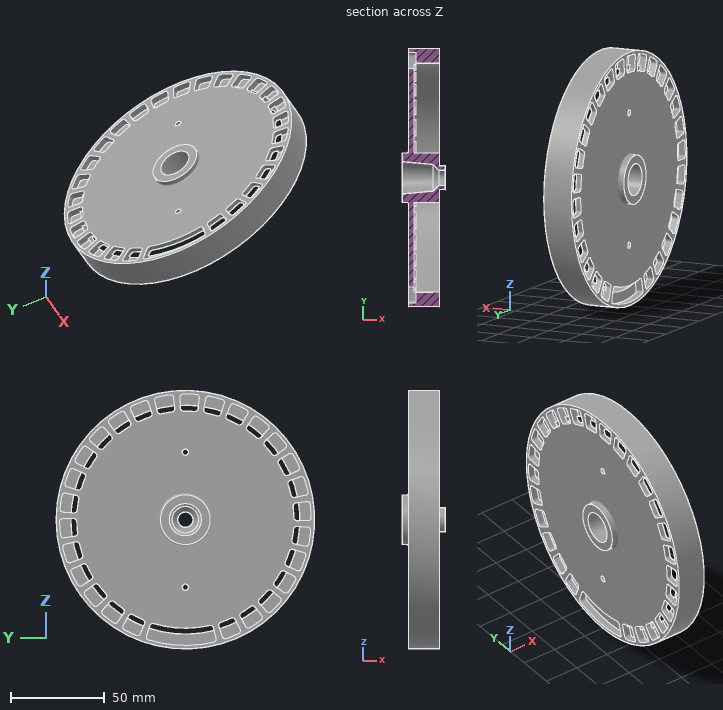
import cadquery as cq
import math

WHEEL_RADIUS = 69.0
WHEEL_WIDTH = 16.5
WEB_THICKNESS = 3.0
RIM_INNER_RADIUS = 61.0

HUB_RADIUS = 13.2
BOSS_LENGTH = 3.5
BOSS_FILLET = 1.0
STUB_RADIUS = 6.5
STUB_LENGTH = 3.2

BORE_MOUTH_RADIUS = 8.5
BORE_END_RADIUS = 7.0
BORE_DEPTH = 16.5
THROUGH_RADIUS = 4.0
CONE_DEPTH = BORE_END_RADIUS - THROUGH_RADIUS

WINDOW_INNER_RADIUS = 58.0
WINDOW_OUTER_RADIUS = 67.0
WINDOW_CORNER_RADIUS = 1.7
WINDOW_POSITIONS = 30
WINDOW_PITCH = 360 / WINDOW_POSITIONS
WINDOW_DEPTH = 4.0
WINDOW_SPAN = 0.75 * WINDOW_PITCH
WINDOW_OFFSET = 2.0
LONG_WINDOW_POSITIONS = 3
LONG_WINDOW_SPAN = WINDOW_SPAN + (LONG_WINDOW_POSITIONS - 1) * WINDOW_PITCH
LONG_WINDOW_INDEX = WINDOW_POSITIONS // 2

PIN_HOLE_DIAMETER = 3.2
PIN_HOLE_CIRCLE_RADIUS = 36.0

BOSS_FACE = -BOSS_LENGTH
STUB_FACE = WHEEL_WIDTH + STUB_LENGTH


def cylinder(radius, start, end):
    """Solid cylinder about the X axis between two X positions."""
    return cq.Workplane("YZ", origin=(start, 0, 0)).circle(radius).extrude(end - start)


def polar(radius, degrees):
    """Point in the YZ plane, with the angle measured from +Z toward -Y."""
    angle = math.radians(degrees)
    return (-radius * math.sin(angle), radius * math.cos(angle))


def window(center, span):
    """Cutter for a round-cornered ring-sector window through the web and into the rim."""
    start = center - span / 2
    end = center + span / 2
    return (
        cq.Workplane("YZ")
        .moveTo(*polar(WINDOW_INNER_RADIUS, start))
        .lineTo(*polar(WINDOW_OUTER_RADIUS, start))
        .threePointArc(polar(WINDOW_OUTER_RADIUS, center), polar(WINDOW_OUTER_RADIUS, end))
        .lineTo(*polar(WINDOW_INNER_RADIUS, end))
        .threePointArc(polar(WINDOW_INNER_RADIUS, center), polar(WINDOW_INNER_RADIUS, start))
        .close()
        .extrude(WINDOW_DEPTH)
        .edges("|X")
        .fillet(WINDOW_CORNER_RADIUS)
    )


def make_wheel():
    """Web and rim, open at the back."""
    cavity = cylinder(RIM_INNER_RADIUS, WEB_THICKNESS, WHEEL_WIDTH)
    return cylinder(WHEEL_RADIUS, 0, WHEEL_WIDTH).cut(cavity)


def make_hub():
    """Boss with a concave fillet at the web, hub body and rear stub, revolved about X."""
    fillet_middle = BOSS_FILLET * (1 - math.sqrt(0.5))
    return (
        cq.Workplane("XY")
        .moveTo(BOSS_FACE, 0)
        .lineTo(BOSS_FACE, HUB_RADIUS)
        .lineTo(-BOSS_FILLET, HUB_RADIUS)
        .threePointArc(
            (-fillet_middle, HUB_RADIUS + fillet_middle),
            (0, HUB_RADIUS + BOSS_FILLET),
        )
        .lineTo(WEB_THICKNESS, HUB_RADIUS + BOSS_FILLET)
        .lineTo(WEB_THICKNESS, HUB_RADIUS)
        .lineTo(WHEEL_WIDTH, HUB_RADIUS)
        .lineTo(WHEEL_WIDTH, STUB_RADIUS)
        .lineTo(STUB_FACE, STUB_RADIUS)
        .lineTo(STUB_FACE, 0)
        .close()
        .revolve(360, (0, 0, 0), (1, 0, 0))
    )


def make_bore():
    """Cutter for the tapered bore, the inner cone and the through hole."""
    bore_end = BOSS_FACE + BORE_DEPTH
    return (
        cq.Workplane("XY")
        .moveTo(BOSS_FACE, 0)
        .lineTo(BOSS_FACE, BORE_MOUTH_RADIUS)
        .lineTo(bore_end, BORE_END_RADIUS)
        .lineTo(bore_end + CONE_DEPTH, THROUGH_RADIUS)
        .lineTo(STUB_FACE, THROUGH_RADIUS)
        .lineTo(STUB_FACE, 0)
        .close()
        .revolve(360, (0, 0, 0), (1, 0, 0))
    )


def make_pin_holes():
    """Cutters for the two pin holes, above and below the hub."""
    return (
        cq.Workplane("YZ")
        .pushPoints([(0, PIN_HOLE_CIRCLE_RADIUS), (0, -PIN_HOLE_CIRCLE_RADIUS)])
        .circle(PIN_HOLE_DIAMETER / 2)
        .extrude(WEB_THICKNESS)
    )


result = make_wheel().union(make_hub()).cut(make_bore()).cut(make_pin_holes())

long_window_reach = LONG_WINDOW_POSITIONS // 2
for index in range(WINDOW_POSITIONS):
    window_center = WINDOW_OFFSET + index * WINDOW_PITCH
    if index == LONG_WINDOW_INDEX:
        result = result.cut(window(window_center, LONG_WINDOW_SPAN))
    elif abs(index - LONG_WINDOW_INDEX) > long_window_reach:
        result = result.cut(window(window_center, WINDOW_SPAN))